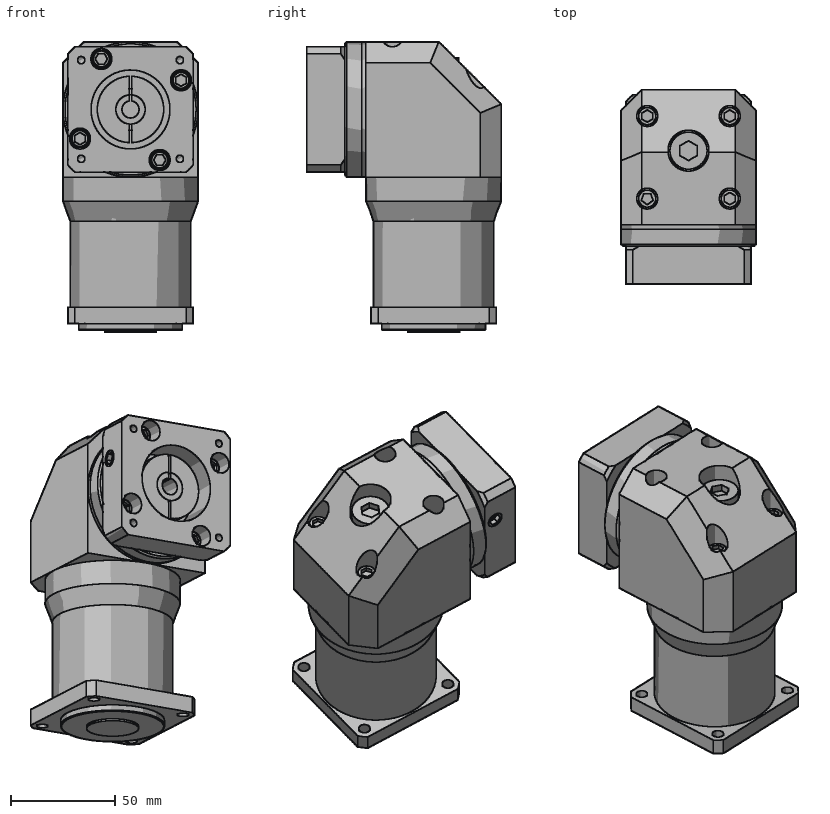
import cadquery as cq
import math


housing_width = 65.0
corner_cut = 30.0
edge_chamfer = 10.0
boss_length = 2.0

stub_diameter = 25.0
stub_height = 1.0
pilot_diameter = 50.0
pilot_height = 3.0
pilot_chamfer = 0.4
flange_height = 8.0
barrel_diameter = 58.0
barrel_height = 41.3
taper_height = 9.5
collar_height = 11.7
flange_hole_diameter = 5.5
flange_hole_circle = 70.0

flange_side = 60.3
flange_corner_diameter = 80.5

screw_circle = 56.1
adapter_screw_angle = 30.0
counterbore_diameter = 10.0
housing_head_diameter = 8.2
adapter_head_diameter = 8.5
screw_head_height = 4.2
adapter_head_chamfer = 0.4
socket_diameter = 5.9
socket_depth = 2.1
housing_counterbore_depth = 27.9
adapter_counterbore_depth = 11.9

plug_hole_diameter = 19.7
plug_diameter = 17.9
plug_y = 3.2
plug_drop = 7.7
plug_height = 8.4
plug_socket_diameter = 9.5
plug_socket_depth = 3.5

ring_length = 8.2
ring_chamfer = 1.0
plate_thickness = 18.3
plate_back_chamfer = 1.8
adapter_bore_diameter = 38.0
mount_hole_diameter = 3.5
mount_hole_spacing = 47.4
mount_hole_depth = 8.4
drill_point_angle = 118.0
access_diameter = 7.8
access_recess = 0.1
access_socket_diameter = 6.0
access_socket_depth = 2.8
access_setback = 12.0
access_rise = 11.0

hub_diameter = 32.0
hub_setback = 6.1
neck_diameter = 20.1
neck_length = ring_length + boss_length
slot_width = 1.3
bushing_diameter = 14.1
bushing_bore = 8.2
bushing_length = 16.7

half_width = housing_width / 2
flange_z = stub_height + pilot_height
barrel_z = flange_z + flange_height
taper_z = barrel_z + barrel_height
collar_z = taper_z + taper_height
housing_z = collar_z + collar_height
housing_top = housing_z + housing_width
input_z = housing_z + half_width
boss_end_y = -half_width - boss_length
ring_end_y = boss_end_y - ring_length
adapter_front_y = ring_end_y - plate_thickness
hub_face_y = adapter_front_y + hub_setback
hub_length = ring_end_y - hub_face_y


def input_frame(y):
    """Workplane square to the input axis at the given Y; +Z of the plane points to -Y."""
    return cq.Workplane("XZ", origin=(0, y, input_z))


def turned_square(plane, thickness):
    """Square flange whose corners are turned to a diameter."""
    square = plane.rect(flange_side, flange_side).extrude(thickness)
    disc = plane.circle(flange_corner_diameter / 2).extrude(thickness)
    return square.intersect(disc)


def screw_pocket(depth, head, sides=6):
    """Counterbore below Z = 0 around a screw head on its floor; a socket corner points to +X."""
    pocket = cq.Workplane("XY").circle(counterbore_diameter / 2).extrude(-depth)
    socket = (
        cq.Workplane("XY", origin=(0, 0, screw_head_height))
        .polygon(sides, socket_diameter)
        .extrude(-socket_depth)
    )
    return pocket.cut(head.cut(socket).translate((0, 0, -depth)))


def housing_block():
    """Cube with the top back edge cut away and a chamfered rim around the outer faces."""
    block = cq.Workplane("XY", origin=(0, 0, housing_z)).box(
        housing_width, housing_width, housing_width, centered=(True, True, False)
    )
    block = block.edges(">Y and >Z").chamfer(corner_cut)
    tolerance = 0.001
    rim = [
        edge
        for edge in block.faces("<X or >X").edges().vals()
        if edge.Center().z > housing_z + tolerance and edge.Center().y > -half_width + tolerance
    ]
    return block.newObject(rim).chamfer(edge_chamfer)


def output_stage():
    """Collar, taper, barrel, square flange, pilot and shaft stub under the block."""
    profile = (
        cq.Workplane("XZ")
        .moveTo(0, 0)
        .lineTo(stub_diameter / 2, 0)
        .lineTo(stub_diameter / 2, stub_height)
        .lineTo(pilot_diameter / 2 - pilot_chamfer, stub_height)
        .lineTo(pilot_diameter / 2, stub_height + pilot_chamfer)
        .lineTo(pilot_diameter / 2, flange_z)
        .lineTo(barrel_diameter / 2, flange_z)
        .lineTo(barrel_diameter / 2, taper_z)
        .lineTo(half_width, collar_z)
        .lineTo(half_width, housing_z)
        .lineTo(0, housing_z)
        .close()
    )
    turned = profile.revolve(360, (0, 0, 0), (0, 1, 0))
    flange = turned_square(cq.Workplane("XY", origin=(0, 0, flange_z)), flange_height)
    holes = (
        cq.Workplane("XY", origin=(0, 0, flange_z))
        .polarArray(flange_hole_circle / 2, 45, 360, 4)
        .circle(flange_hole_diameter / 2)
        .extrude(flange_height)
    )
    return turned.union(flange.cut(holes))


def cut_housing_screws(body):
    """Four vertical screw pockets; the screw at the -X, -Y corner has a five-sided socket."""
    head = cq.Workplane("XY").circle(housing_head_diameter / 2).extrude(screw_head_height)
    offset = screw_circle / 2 * math.sqrt(0.5)
    for x in (-offset, offset):
        for y in (-offset, offset):
            sides = 5 if x < 0 and y < 0 else 6
            pocket = screw_pocket(housing_counterbore_depth, head, sides)
            pocket = pocket.rotate((0, 0, 0), (0, 0, 1), -90)
            body = body.cut(pocket.translate((x, y, housing_top)))
    return body


def fit_oil_plug(body):
    """Plug with a hexagon socket, standing in a clearance hole."""
    plug_top = cq.Workplane("XY", origin=(0, plug_y, housing_top - plug_drop))
    hole_depth = plug_drop + plug_height
    hole = (
        cq.Workplane("XY", origin=(0, plug_y, housing_top))
        .circle(plug_hole_diameter / 2)
        .extrude(-hole_depth)
    )
    plug = plug_top.circle(plug_diameter / 2).extrude(-plug_height)
    socket = (
        plug_top.transformed(rotate=(0, 0, 90))
        .polygon(6, plug_socket_diameter)
        .extrude(-plug_socket_depth)
    )
    return body.cut(hole).union(plug.cut(socket))


def make_housing():
    boss = input_frame(-half_width).circle(half_width).extrude(boss_length)
    neck_seat = input_frame(-half_width).circle(neck_diameter / 2).extrude(boss_length)
    body = housing_block().union(output_stage()).union(boss).cut(neck_seat)
    return fit_oil_plug(cut_housing_screws(body))


def cut_adapter_screws(body):
    """Four screw pockets in the front face, a quarter turn apart."""
    head = (
        cq.Workplane("XY")
        .circle(adapter_head_diameter / 2)
        .extrude(screw_head_height)
        .faces(">Z")
        .chamfer(adapter_head_chamfer)
    )
    pocket = screw_pocket(adapter_counterbore_depth, head).translate((screw_circle / 2, 0, 0))
    for quarter in range(4):
        placed = (
            pocket.rotate((0, 0, 0), (0, 0, 1), adapter_screw_angle + 90 * quarter)
            .rotate((0, 0, 0), (1, 0, 0), 90)
            .translate((0, adapter_front_y, input_z))
        )
        body = body.cut(placed)
    return body


def cut_mount_holes(body):
    """Four drilled motor screw holes with conical ends."""
    radius = mount_hole_diameter / 2
    tip = radius / math.tan(math.radians(drill_point_angle / 2))
    drill = (
        cq.Workplane("XY")
        .moveTo(0, adapter_front_y)
        .lineTo(radius, adapter_front_y)
        .lineTo(radius, adapter_front_y + mount_hole_depth)
        .lineTo(0, adapter_front_y + mount_hole_depth + tip)
        .close()
        .revolve(360, (0, 0, 0), (0, 1, 0))
    )
    offset = mount_hole_spacing / 2
    for x in (-offset, offset):
        for z in (-offset, offset):
            body = body.cut(drill.translate((x, 0, input_z + z)))
    return body


def cut_access_plug(body):
    """Slightly sunk access plug with a hexagon socket in the -X side."""
    side = cq.Workplane(
        "YZ", origin=(-flange_side / 2, adapter_front_y + access_setback, input_z + access_rise)
    )
    recess = side.circle(access_diameter / 2).extrude(access_recess)
    socket = side.polygon(6, access_socket_diameter).extrude(access_socket_depth)
    return body.cut(recess).cut(socket)


def make_adapter():
    """Round ring and square plate in one piece, bored for the clamp hub."""
    ring = (
        input_frame(boss_end_y)
        .circle(half_width)
        .extrude(ring_length)
        .faces("<Y")
        .chamfer(ring_chamfer)
    )
    back_radius = flange_corner_diameter / 2 - plate_back_chamfer
    back_cone = cq.Workplane(
        cq.Solid.makeCone(
            back_radius,
            back_radius + plate_thickness,
            plate_thickness,
            cq.Vector(0, ring_end_y, input_z),
            cq.Vector(0, -1, 0),
        )
    )
    plate = turned_square(input_frame(ring_end_y), plate_thickness).intersect(back_cone)
    bore = input_frame(ring_end_y).circle(adapter_bore_diameter / 2).extrude(plate_thickness)
    neck_hole = input_frame(boss_end_y).circle(neck_diameter / 2).extrude(ring_length)
    body = ring.union(plate).cut(bore).cut(neck_hole)
    return cut_access_plug(cut_mount_holes(cut_adapter_screws(body)))


def make_clamp_hub():
    """Slotted collar on a neck, bored for the bushing."""
    collar = input_frame(ring_end_y).circle(hub_diameter / 2).extrude(hub_length)
    slot = input_frame(ring_end_y).rect(slot_width, hub_diameter).extrude(hub_length)
    neck = input_frame(-half_width).circle(neck_diameter / 2).extrude(neck_length)
    bore = input_frame(hub_face_y).circle(bushing_diameter / 2).extrude(-bushing_length)
    return collar.cut(slot).union(neck).cut(bore)


def make_bushing():
    """Reducing sleeve, slit along its upper side."""
    face = input_frame(hub_face_y)
    sleeve = face.circle(bushing_diameter / 2).circle(bushing_bore / 2).extrude(-bushing_length)
    slit = (
        face.center(0, bushing_diameter / 4)
        .rect(slot_width, bushing_diameter / 2)
        .extrude(-bushing_length)
    )
    return sleeve.cut(slit)


housing = make_housing()
adapter = make_adapter()
clamp_hub = make_clamp_hub()
bushing = make_bushing()

result = cq.Compound.makeCompound(
    [housing.val(), adapter.val(), clamp_hub.val(), bushing.val()]
)